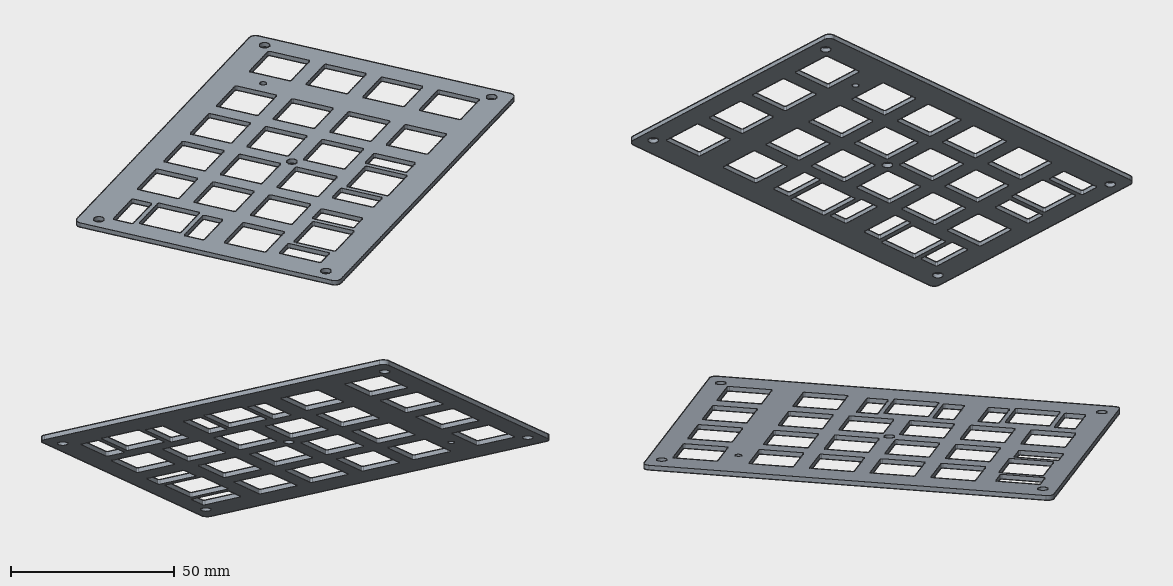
import cadquery as cq

width = 88.9
length = 128.6
thickness = 1.5
corner_radius = 2.0

pitch = 19.0
columns = 4
rows = 6
function_row_gap = pitch / 4
key_size = 14.0
cutout_radius = 0.5

stabilizer_length = 14.0
stabilizer_width = 6.7
stabilizer_spacing = 12.0
stabilizer_offset = 1.0

screw_diameter = 3.2
screw_half_span_x = 38.2
screw_half_span_y = 59.8
access_diameter = 2.0

column_x = [(i - (columns - 1) / 2) * pitch for i in range(columns)]
bottom_row_y = -((rows - 1) * pitch + function_row_gap) / 2
row_y = [bottom_row_y + i * pitch for i in range(rows)]
row_y[-1] += function_row_gap


def middle(a, b):
    return (a + b) / 2


def rectangles(points, size_x, size_y):
    """Round-cornered cutters at the given centres."""
    return (
        cq.Workplane("XY")
        .pushPoints(points)
        .rect(size_x, size_y)
        .extrude(thickness)
        .edges("|Z")
        .fillet(cutout_radius)
    )


def holes(points, diameter):
    return cq.Workplane("XY").pushPoints(points).circle(diameter / 2).extrude(thickness)


double_key_rows = 4
double_key_columns = 2


def is_single(column, row):
    in_upright_key = column == columns - 1 and row < double_key_rows
    in_lying_key = row == 0 and column < double_key_columns
    return not in_upright_key and not in_lying_key


single_keys = [
    (x, y)
    for column, x in enumerate(column_x)
    for row, y in enumerate(row_y)
    if is_single(column, row)
]

upright_keys = [
    (column_x[-1], middle(row_y[0], row_y[1])),
    (column_x[-1], middle(row_y[2], row_y[3])),
]
lying_key = (middle(column_x[0], column_x[1]), row_y[0])

upright_stabilizers = [
    (x - stabilizer_offset, y + side * stabilizer_spacing)
    for x, y in upright_keys
    for side in (-1, 1)
]
lying_stabilizers = [
    (lying_key[0] + side * stabilizer_spacing, lying_key[1] - stabilizer_offset)
    for side in (-1, 1)
]

screws = [
    (side_x * screw_half_span_x, side_y * screw_half_span_y)
    for side_x in (-1, 1)
    for side_y in (-1, 1)
]
screws.append((0, middle(row_y[2], row_y[3])))
access_hole = (column_x[0], middle(row_y[-2], row_y[-1]))

plate = (
    cq.Workplane("XY")
    .rect(width, length)
    .extrude(thickness)
    .edges("|Z")
    .fillet(corner_radius)
)

result = (
    plate
    .cut(rectangles(single_keys + upright_keys + [lying_key], key_size, key_size))
    .cut(rectangles(upright_stabilizers, stabilizer_length, stabilizer_width))
    .cut(rectangles(lying_stabilizers, stabilizer_width, stabilizer_length))
    .cut(holes(screws, screw_diameter))
    .cut(holes([access_hole], access_diameter))
)